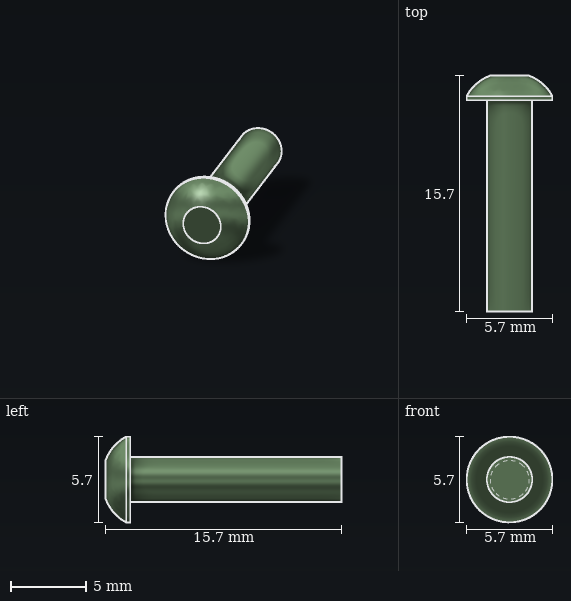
import cadquery as cq

total_length = 15.65
head_diameter = 5.7
shank_diameter = 3.0
head_height = 1.65
rim_height = 0.28
crown_flat_diameter = 2.57
dome_bulge = 0.19

shank_radius = shank_diameter / 2
head_radius = head_diameter / 2
crown_radius = crown_flat_diameter / 2
head_seat = total_length - head_height
rim_top = head_seat + rim_height

profile = (
    cq.Workplane("XY")
    .lineTo(shank_radius, 0)
    .lineTo(shank_radius, head_seat)
    .lineTo(head_radius, head_seat)
    .lineTo(head_radius, rim_top)
    .sagittaArc((crown_radius, total_length), -dome_bulge)
    .lineTo(0, total_length)
    .close()
)

result = profile.revolve(360, (0, 0, 0), (0, 1, 0))